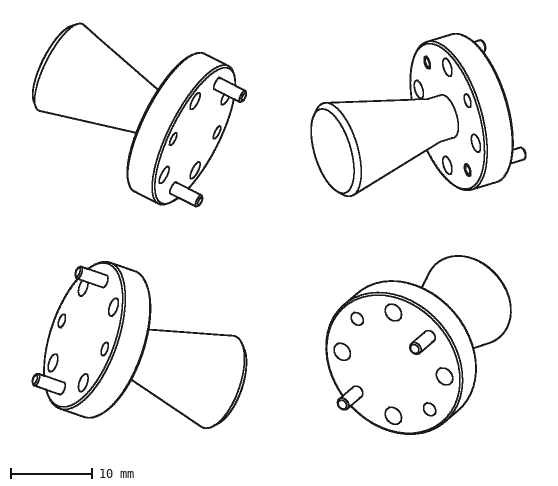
import cadquery as cq
import math

overall_length = 24.2
knob_diameter = 11.97
knob_chamfer_length = 0.68
knob_chamfer_depth = 0.6
cone_end_x = 14.3
neck_diameter = 5.5

flange_diameter = 19.05
flange_start_x = 16.25
flange_thickness = 4.05
flange_chamfer = 0.25

bolt_circle_radius = 7.14
bolt_hole_diameter = 2.27
alignment_hole_diameter = 1.7
bolt_hole_angles = (0, 90, 180, 270)
alignment_hole_angles = (135, 315)
pin_angles = (45, 225)

pin_diameter = 1.57
pin_chamfer = 0.2

flange_end_x = flange_start_x + flange_thickness
pin_start_x = flange_start_x
pin_length = overall_length - pin_start_x


def axial_cylinders(diameter, start_x, length, angles):
    """Cylinders along X on the bolt circle, at angles measured from +Y toward +Z."""
    points = [
        (
            bolt_circle_radius * math.cos(math.radians(angle)),
            bolt_circle_radius * math.sin(math.radians(angle)),
        )
        for angle in angles
    ]
    return (
        cq.Workplane("YZ", origin=(start_x, 0, 0))
        .pushPoints(points)
        .circle(diameter / 2)
        .extrude(length)
    )


def make_body():
    """Turned knob, neck and flange with through holes on the bolt circle."""
    knob_radius = knob_diameter / 2
    neck_radius = neck_diameter / 2
    flange_radius = flange_diameter / 2
    body = (
        cq.Workplane("XZ")
        .moveTo(0, 0)
        .lineTo(0, knob_radius - knob_chamfer_depth)
        .lineTo(knob_chamfer_length, knob_radius)
        .lineTo(cone_end_x, neck_radius)
        .lineTo(flange_start_x, neck_radius)
        .lineTo(flange_start_x, flange_radius - flange_chamfer)
        .lineTo(flange_start_x + flange_chamfer, flange_radius)
        .lineTo(flange_end_x - flange_chamfer, flange_radius)
        .lineTo(flange_end_x, flange_radius - flange_chamfer)
        .lineTo(flange_end_x, 0)
        .close()
        .revolve(360, (0, 0, 0), (1, 0, 0))
    )
    for diameter, angles in (
        (bolt_hole_diameter, bolt_hole_angles),
        (alignment_hole_diameter, alignment_hole_angles),
        (pin_diameter, pin_angles),
    ):
        body = body.cut(axial_cylinders(diameter, flange_start_x, flange_thickness, angles))
    return body


def make_pin(angle):
    """Dowel pin pressed through the flange, chamfered at both ends."""
    pin = axial_cylinders(pin_diameter, pin_start_x, pin_length, [angle])
    return pin.faces("<X or >X").chamfer(pin_chamfer)


body = make_body()
pins = [make_pin(angle) for angle in pin_angles]

result = cq.Compound.makeCompound([body.val(), *[pin.val() for pin in pins]])